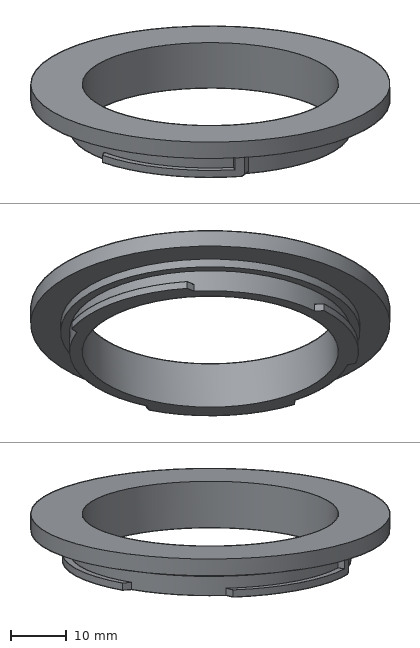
import cadquery as cq
import math

bore_diameter = 46.0
flange_diameter = 64.5
shoulder_diameter = 53.7
body_diameter = 50.5
flange_thickness = 3.1
shoulder_thickness = 1.55
body_height = 4.0

lug_diameter = 53.2
lug_height = 1.35
lug_root_flare = 2.4
root_overlap = 0.3
lug_spans = [(47.5, 107.5), (166.8, 216.7)]
stop_lug_span = (261.9, 321.9)

stop_post_angle = 3.8
stop_chamfer = 0.4


def polar(radius, angle):
    radians = math.radians(angle)
    return radius * math.cos(radians), radius * math.sin(radians)


def ring_sector(start, end, start_flare, end_flare, height):
    """Arc-shaped block on the body wall, its ends flared towards the root."""
    rim = lug_diameter / 2
    wall = body_diameter / 2
    root = wall - root_overlap
    middle = (start + end) / 2
    root_start = start - start_flare
    root_end = end + end_flare
    return (
        cq.Workplane("XY")
        .moveTo(*polar(root, root_start))
        .lineTo(*polar(wall, root_start))
        .lineTo(*polar(rim, start))
        .threePointArc(polar(rim, middle), polar(rim, end))
        .lineTo(*polar(wall, root_end))
        .lineTo(*polar(root, root_end))
        .threePointArc(polar(root, middle), polar(root, root_start))
        .close()
        .extrude(height)
    )


def lug(start, end):
    return ring_sector(start, end, lug_root_flare, lug_root_flare, lug_height)


def stop_lug(start, end):
    """Lug with a full-height post at its end and a chamfered lower corner."""
    post = ring_sector(end - stop_post_angle, end, 0, lug_root_flare, body_height)
    flared_end_x, flared_end_y = polar(body_diameter / 2, end + lug_root_flare)
    rim_end_x, rim_end_y = polar(lug_diameter / 2, end)
    end_edge_middle = ((flared_end_x + rim_end_x) / 2, (flared_end_y + rim_end_y) / 2, 0)
    outline = lug(start, end).union(post)
    return outline.edges(cq.selectors.NearestToPointSelector(end_edge_middle)).chamfer(stop_chamfer)


result = (
    cq.Workplane("XY")
    .circle(body_diameter / 2)
    .extrude(body_height)
    .faces(">Z")
    .workplane()
    .circle(shoulder_diameter / 2)
    .extrude(shoulder_thickness)
    .faces(">Z")
    .workplane()
    .circle(flange_diameter / 2)
    .extrude(flange_thickness)
)

for start_angle, end_angle in lug_spans:
    result = result.union(lug(start_angle, end_angle))
result = result.union(stop_lug(*stop_lug_span))

total_height = body_height + shoulder_thickness + flange_thickness
bore = cq.Workplane("XY").circle(bore_diameter / 2).extrude(total_height)
result = result.cut(bore)